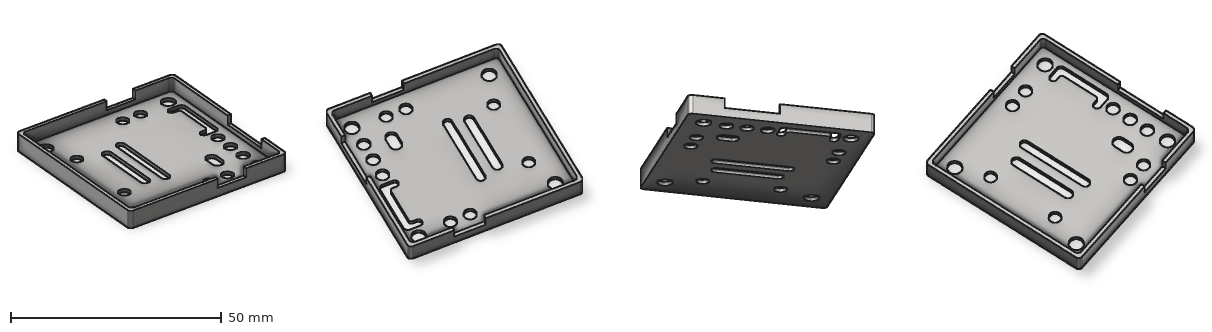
import cadquery as cq

length_x = 45.8
length_y = 46.2
height = 4.85
wall = 1.0
floor = 1.0
corner_radius = 1.0

notch_depth = 2.5
side_notch_width = 8.35
side_notch_y = 6.98
back_notch_width = 13.6
back_notch_x = 7.25

corner_hole_diameter = 3.7
corner_hole_centers = [(-18.2, 18.25), (18.0, 18.4), (-17.95, -17.93), (18.05, -17.93)]

row_hole_diameter = 3.3
row_hole_count = 3
row_hole_pitch = 5.1
row_first_x = 2.15
row_y = 17.95

side_hole_diameter = 3.2
side_hole_x = 17.5
side_hole_rows = (9.55, 4.35)

front_hole_diameter = 3.1
front_hole_x = 9.55
front_hole_y = -14.95

oval_length, oval_width = 5.4, 3.1
oval_center = (10.15, 11.15)
slot_x = 0.4
long_slot_length, long_slot_width = 20.37, 2.35
long_slot_y = -2.75
short_slot_length, short_slot_width = 17.8, 2.55
short_slot_y = -7.8

u_width = 14.95
u_depth = 4.9
u_center_x = -7.95
u_top_y = 20.4
u_leg_width = 2.0
u_bar_width = 2.13
u_outer_radius = 1.2
u_inner_radius = 0.7


def rounded_block(size_x, size_y, size_z, radius):
    block = cq.Workplane("XY").box(size_x, size_y, size_z, centered=(True, True, False))
    return block.edges("|Z").fillet(radius)


def make_tray():
    outside = rounded_block(length_x, length_y, height, corner_radius)
    inside = rounded_block(length_x - 2 * wall, length_y - 2 * wall, height, corner_radius)
    return outside.cut(inside.translate((0, 0, floor)))


def cut_rim_notches(body):
    notch_bottom = height - notch_depth
    sides = cq.Workplane("XY").box(length_x, side_notch_width, notch_depth, centered=(True, True, False))
    back = cq.Workplane("XY").box(back_notch_width, 2 * wall, notch_depth, centered=(True, True, False))
    body = body.cut(sides.translate((0, side_notch_y, notch_bottom)))
    return body.cut(back.translate((back_notch_x, length_y / 2, notch_bottom)))


def cut_holes(body, centers, diameter):
    cutter = cq.Workplane("XY").pushPoints(centers).circle(diameter / 2).extrude(floor)
    return body.cut(cutter)


def cut_slot(body, center, slot_length, slot_width):
    cutter = cq.Workplane("XY").center(*center).slot2D(slot_length, slot_width).extrude(floor)
    return body.cut(cutter)


def cut_u_slot(body):
    leg_x = (u_width - u_leg_width) / 2
    bar = cq.Workplane("XY").box(u_width, u_bar_width, floor, centered=(True, False, False))
    cutter = bar.translate((0, -u_bar_width, 0))
    leg = cq.Workplane("XY").box(u_leg_width, u_depth - u_leg_width / 2, floor, centered=(True, False, False))
    leg = leg.translate((0, u_leg_width / 2 - u_depth, 0))
    leg_end = cq.Workplane("XY").center(0, u_leg_width / 2 - u_depth).circle(u_leg_width / 2).extrude(floor)
    for x in (-leg_x, leg_x):
        cutter = cutter.union(leg.translate((x, 0, 0)))
    cutter = cutter.edges("|Z and >Y").fillet(u_outer_radius)
    inner_corners = cq.selectors.BoxSelector(
        (-leg_x, -u_bar_width - u_inner_radius, 0),
        (leg_x, -u_bar_width + u_inner_radius, floor),
    )
    cutter = cutter.edges("|Z").edges(inner_corners).fillet(u_inner_radius)
    for x in (-leg_x, leg_x):
        cutter = cutter.union(leg_end.translate((x, 0, 0)))
    return body.cut(cutter.translate((u_center_x, u_top_y, 0)))


row_hole_centers = [(row_first_x + i * row_hole_pitch, row_y) for i in range(row_hole_count)]
side_hole_centers = [(side * side_hole_x, y) for side in (-1, 1) for y in side_hole_rows]
front_hole_centers = [(side * front_hole_x, front_hole_y) for side in (-1, 1)]

result = cut_rim_notches(make_tray())
result = cut_holes(result, corner_hole_centers, corner_hole_diameter)
result = cut_holes(result, row_hole_centers, row_hole_diameter)
result = cut_holes(result, side_hole_centers, side_hole_diameter)
result = cut_holes(result, front_hole_centers, front_hole_diameter)
result = cut_slot(result, oval_center, oval_length, oval_width)
result = cut_slot(result, (slot_x, long_slot_y), long_slot_length, long_slot_width)
result = cut_slot(result, (slot_x, short_slot_y), short_slot_length, short_slot_width)
result = cut_u_slot(result)